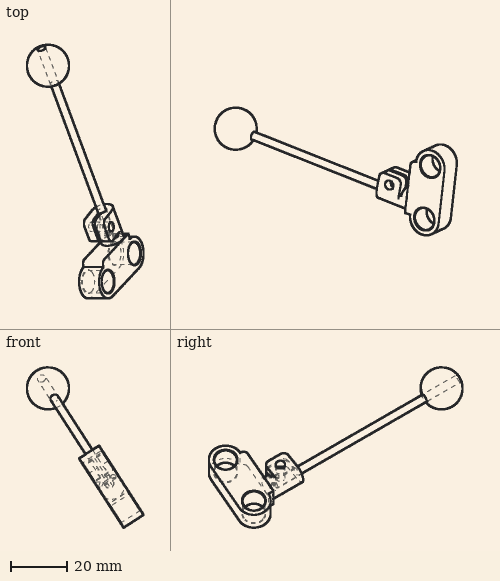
import cadquery as cq
import math

PLATE_CENTER = cq.Vector(9.2, -34.15, -13.8)
PLATE_TILT = 32.8
PLATE_SPIN = 30.1
LEVER_LEAN = 4.3

PLATE_THICKNESS = 8.5
HOLE_SPACING = 20.0
PLATE_WIDTH = 12.0
PLATE_HOLE_DIAMETER = 8.0
HOLE_RIM_DIAMETER = 8.5
SHOULDER_TOP = 8.1
SHOULDER_FILLET = 1.8

BALL_HEIGHT = 82.8
BALL_DIAMETER = 15.05
ROD_DIAMETER = 3.0
ROD_BORE_DIAMETER = 3.3

CLAMP_THICKNESS = 8.5
CLAMP_TOP = -62.35
CLAMP_HEIGHT = 9.2
CLAMP_REACH = 7.2
EAR_FILLET = 2.0
EAR_GAP = 1.0
UNDERCUT_HEIGHT = 0.8
UNDERCUT_END = 1.2
SCREW_HOLE_DIAMETER = 3.3
SCREW_OFFSET = 3.5
NECK_EMBED = 1.8

CLAMP_BOTTOM = CLAMP_TOP - CLAMP_HEIGHT
CLAMP_MIDDLE = CLAMP_TOP - CLAMP_HEIGHT / 2
HALF_SPACING = HOLE_SPACING / 2
HOLE_CENTERS = [(-HALF_SPACING, 0), (HALF_SPACING, 0)]


def rod_cylinder(diameter, bottom, top):
    """Cylinder along the rod axis between two heights."""
    start = cq.Workplane("XZ", origin=(0, bottom, 0))
    return start.circle(diameter / 2).extrude(bottom - top)


def box_between(x_range, y_range, thickness):
    """Box with the given X and Y limits, centred on the middle plane."""
    width = x_range[1] - x_range[0]
    height = y_range[1] - y_range[0]
    center = (sum(x_range) / 2, sum(y_range) / 2)
    return cq.Workplane("XY").center(*center).box(width, height, thickness)


def lean(shape):
    """Move a shape from lever coordinates to plate coordinates."""
    return shape.rotate((0, 0, 0), (0, 0, 1), LEVER_LEAN).translate((0, BALL_HEIGHT, 0))


def place(shape):
    """Move a shape from plate coordinates to its final place; returns the solid."""
    tilt = math.radians(PLATE_TILT)
    spin = math.radians(PLATE_SPIN)
    normal = cq.Vector(math.cos(tilt), 0, math.sin(tilt))
    downhill = cq.Vector(math.sin(tilt), 0, -math.cos(tilt))
    hole_line = downhill * math.cos(spin) + cq.Vector(0, 1, 0) * math.sin(spin)
    frame = cq.Plane(origin=PLATE_CENTER, xDir=hole_line, normal=normal)
    return shape.solids().val().moved(frame.location)


def make_plate():
    """Round-ended plate with a raised shoulder, without its holes."""
    stadium = cq.Workplane("XY").slot2D(HOLE_SPACING + PLATE_WIDTH, PLATE_WIDTH)
    plate = stadium.extrude(PLATE_THICKNESS / 2, both=True)
    shoulder = box_between((-HALF_SPACING, HALF_SPACING), (0, SHOULDER_TOP), PLATE_THICKNESS)
    shoulder = shoulder.edges("|Z and <X and >Y").fillet(SHOULDER_FILLET)
    return plate.union(shoulder)


def cut_plate_holes(body):
    """Two through holes, chamfered at both faces."""
    chamfer = (HOLE_RIM_DIAMETER - PLATE_HOLE_DIAMETER) / 2
    half = PLATE_THICKNESS / 2
    bore = PLATE_HOLE_DIAMETER / 2
    rim = HOLE_RIM_DIAMETER / 2
    profile = [
        (0, -half), (rim, -half), (bore, chamfer - half),
        (bore, half - chamfer), (rim, half), (0, half),
    ]
    cutter = cq.Workplane("XZ").polyline(profile).close().revolve(360, (0, 0), (0, 1))
    for x, y in HOLE_CENTERS:
        body = body.cut(cutter.translate((x, y, 0)))
    return body


def make_clamp():
    """Split clamp on a round neck, in lever coordinates."""
    neck_bottom = SHOULDER_TOP - NECK_EMBED - BALL_HEIGHT
    neck = rod_cylinder(CLAMP_THICKNESS, neck_bottom, CLAMP_TOP)
    ears = box_between((-CLAMP_REACH, 0), (CLAMP_BOTTOM, CLAMP_TOP), CLAMP_THICKNESS)
    ears = ears.edges("|Z and <X").fillet(EAR_FILLET)
    bore = rod_cylinder(ROD_BORE_DIAMETER, CLAMP_BOTTOM, CLAMP_TOP)
    undercut_bottom = CLAMP_BOTTOM - UNDERCUT_HEIGHT
    gap = box_between((-CLAMP_REACH, 0), (undercut_bottom, CLAMP_TOP), EAR_GAP)
    undercut = box_between((-CLAMP_REACH, -UNDERCUT_END), (undercut_bottom, CLAMP_BOTTOM), CLAMP_THICKNESS)
    screw = cq.Workplane("XY").center(-SCREW_OFFSET, CLAMP_MIDDLE).circle(SCREW_HOLE_DIAMETER / 2)
    screw = screw.extrude(CLAMP_THICKNESS, both=True)
    return neck.union(ears).cut(bore).cut(gap).cut(undercut).cut(screw)


def make_holder():
    """Base plate and clamp in one piece."""
    return cut_plate_holes(make_plate().union(lean(make_clamp())))


def make_rod():
    """Straight rod from the clamp floor to the far side of the ball."""
    rod_top = math.sqrt((BALL_DIAMETER / 2) ** 2 - (ROD_DIAMETER / 2) ** 2)
    return rod_cylinder(ROD_DIAMETER, CLAMP_BOTTOM, rod_top)


def make_ball():
    """Ball drilled through for the rod."""
    ball = cq.Workplane("XY").sphere(BALL_DIAMETER / 2)
    return ball.cut(rod_cylinder(ROD_DIAMETER, -BALL_DIAMETER, BALL_DIAMETER))


holder = place(make_holder())
rod = place(lean(make_rod()))
ball = place(lean(make_ball()))

result = cq.Compound.makeCompound([holder, rod, ball])